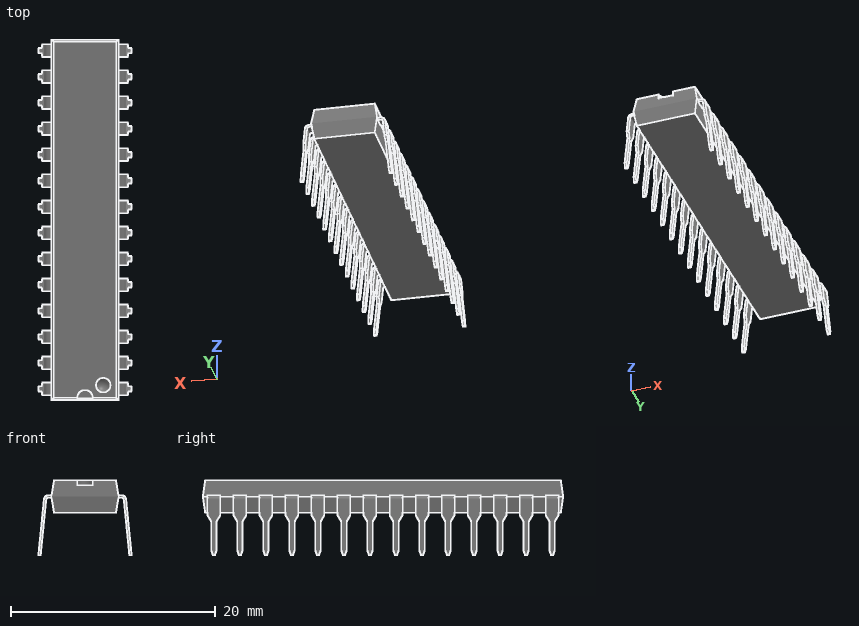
import cadquery as cq
import math

BODY_LENGTH = 35.2
BODY_WIDTH = 6.6
BODY_HALF_HEIGHT = 1.6
SIDE_INSET = 0.27
END_INSET = 0.23
TOP_END_Y = -BODY_LENGTH / 2 + END_INSET

NOTCH_RADIUS = 0.75
NOTCH_DEPTH = 0.5
DIMPLE_RADIUS = 0.71
DIMPLE_DEPTH = 0.45
DIMPLE_X = 1.78
DIMPLE_END_DISTANCE = 1.45

OVERALL_WIDTH = 9.14
OVERALL_HEIGHT = 7.35
LEADS_PER_SIDE = 14
LEAD_PITCH = 2.54
LEAD_THICKNESS = 0.25
BEND_OUTER_RADIUS = 0.45
BEND_INNER_RADIUS = BEND_OUTER_RADIUS - LEAD_THICKNESS
SPLAY_ANGLE = 5.7
LEAD_EMBED = 0.5
LEAD_BOTTOM_Z = BODY_HALF_HEIGHT - OVERALL_HEIGHT

SHOULDER_WIDTH = 1.27
SHANK_WIDTH = 0.55
TIP_WIDTH = 0.2
TIP_LENGTH = 0.5
SHOULDER_END_Z = -1.84
SHANK_START_Z = -2.43
TIP_START_Z = LEAD_BOTTOM_Z + TIP_LENGTH


def body_half(direction):
    """Half of the body; direction is +1 for the upper half and -1 for the lower."""
    return (
        cq.Workplane("XY")
        .rect(BODY_WIDTH, BODY_LENGTH)
        .workplane(offset=direction * BODY_HALF_HEIGHT)
        .rect(BODY_WIDTH - 2 * SIDE_INSET, BODY_LENGTH - 2 * END_INSET)
        .loft(ruled=True)
    )


def end_notch():
    return (
        cq.Workplane("XY", origin=(0, TOP_END_Y, BODY_HALF_HEIGHT - NOTCH_DEPTH))
        .circle(NOTCH_RADIUS)
        .extrude(NOTCH_DEPTH)
    )


def pin_one_dimple():
    sphere_radius = (DIMPLE_RADIUS**2 + DIMPLE_DEPTH**2) / (2 * DIMPLE_DEPTH)
    center_z = BODY_HALF_HEIGHT - DIMPLE_DEPTH + sphere_radius
    center_y = -BODY_LENGTH / 2 + DIMPLE_END_DISTANCE
    return cq.Workplane("XY").sphere(sphere_radius).translate((DIMPLE_X, center_y, center_z))


def bent_strip():
    """Lead of the +X side as a constant-width strip centred on Y = 0."""
    splay = math.radians(SPLAY_ANGLE)
    top_z = LEAD_THICKNESS / 2
    root_x = BODY_WIDTH / 2 - LEAD_EMBED
    bend_z = top_z - BEND_OUTER_RADIUS
    drop = bend_z + BEND_OUTER_RADIUS * math.sin(splay) - LEAD_BOTTOM_Z
    bend_x = OVERALL_WIDTH / 2 - drop * math.tan(splay) - BEND_OUTER_RADIUS * math.cos(splay)

    def on_bend(radius, angle):
        return (bend_x + radius * math.cos(angle), bend_z + radius * math.sin(angle))

    middle = (math.pi / 2 + splay) / 2
    inner_end = on_bend(BEND_INNER_RADIUS, splay)
    inner_bottom_x = inner_end[0] + (inner_end[1] - LEAD_BOTTOM_Z) * math.tan(splay)
    return (
        cq.Workplane("XZ")
        .moveTo(root_x, top_z)
        .lineTo(bend_x, top_z)
        .threePointArc(on_bend(BEND_OUTER_RADIUS, middle), on_bend(BEND_OUTER_RADIUS, splay))
        .lineTo(OVERALL_WIDTH / 2, LEAD_BOTTOM_Z)
        .lineTo(inner_bottom_x, LEAD_BOTTOM_Z)
        .lineTo(*inner_end)
        .threePointArc(on_bend(BEND_INNER_RADIUS, middle), on_bend(BEND_INNER_RADIUS, math.pi / 2))
        .lineTo(root_x, top_z - LEAD_THICKNESS)
        .close()
        .extrude(SHOULDER_WIDTH / 2, both=True)
    )


def lead_outline():
    """Stepped lead silhouette, extruded across the +X side."""
    right_edge = [
        (SHOULDER_WIDTH / 2, LEAD_THICKNESS),
        (SHOULDER_WIDTH / 2, SHOULDER_END_Z),
        (SHANK_WIDTH / 2, SHANK_START_Z),
        (SHANK_WIDTH / 2, TIP_START_Z),
        (TIP_WIDTH / 2, LEAD_BOTTOM_Z),
    ]
    left_edge = [(-y, z) for y, z in reversed(right_edge)]
    return cq.Workplane("YZ").polyline(right_edge + left_edge).close().extrude(OVERALL_WIDTH)


def add_leads(body):
    right_lead = bent_strip().intersect(lead_outline())
    left_lead = right_lead.mirror("YZ")
    leads = []
    for index in range(LEADS_PER_SIDE):
        y = (index - (LEADS_PER_SIDE - 1) / 2) * LEAD_PITCH
        leads.append(right_lead.translate((0, y, 0)).val())
        leads.append(left_lead.translate((0, y, 0)).val())
    return body.union(cq.Workplane("XY").newObject(leads))


body = body_half(1).union(body_half(-1))
body = body.cut(end_notch()).cut(pin_one_dimple())
result = add_leads(body)